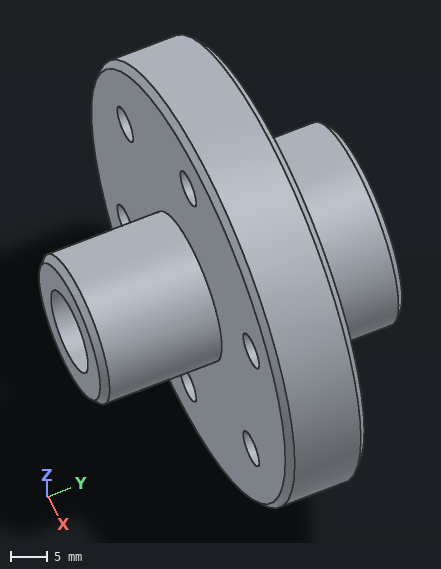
import cadquery as cq

flange_diameter = 66.0
flange_thickness = 12.0

spigot_diameter = 22.2
spigot_length = 18.0
hub_diameter = 30.0
hub_length = 14.0

edge_chamfer = 1.0
bore_diameter = 12.2

bolt_hole_count = 6
bolt_hole_diameter = 5.2
bolt_circle_diameter = 48.0
first_bolt_angle = 90

radial_hole_diameter = 4.2
radial_hole_setback = 8.5


def cylinder_along_y(diameter, start_y, length):
    """Solid cylinder on the Y axis, running from start_y toward +Y."""
    base = cq.Workplane("XZ", origin=(0, start_y, 0))
    return base.circle(diameter / 2).extrude(-length)


flange = cylinder_along_y(flange_diameter, 0, flange_thickness)
flange = flange.faces("<Y or >Y").chamfer(edge_chamfer)

spigot = cylinder_along_y(spigot_diameter, -spigot_length, spigot_length)
spigot = spigot.faces("<Y").chamfer(edge_chamfer)

hub = cylinder_along_y(hub_diameter, flange_thickness, hub_length)
hub = hub.faces(">Y").chamfer(edge_chamfer)

bore = cylinder_along_y(bore_diameter, -spigot_length, spigot_length + flange_thickness + hub_length)

bolt_holes = (
    cq.Workplane("XZ")
    .polarArray(bolt_circle_diameter / 2, first_bolt_angle, 360, bolt_hole_count)
    .circle(bolt_hole_diameter / 2)
    .extrude(-flange_thickness)
)

radial_hole = (
    cq.Workplane("XY", origin=(0, -radial_hole_setback, 0))
    .circle(radial_hole_diameter / 2)
    .extrude(-spigot_diameter / 2)
)

result = flange.union(spigot).union(hub).cut(bore).cut(bolt_holes).cut(radial_hole)